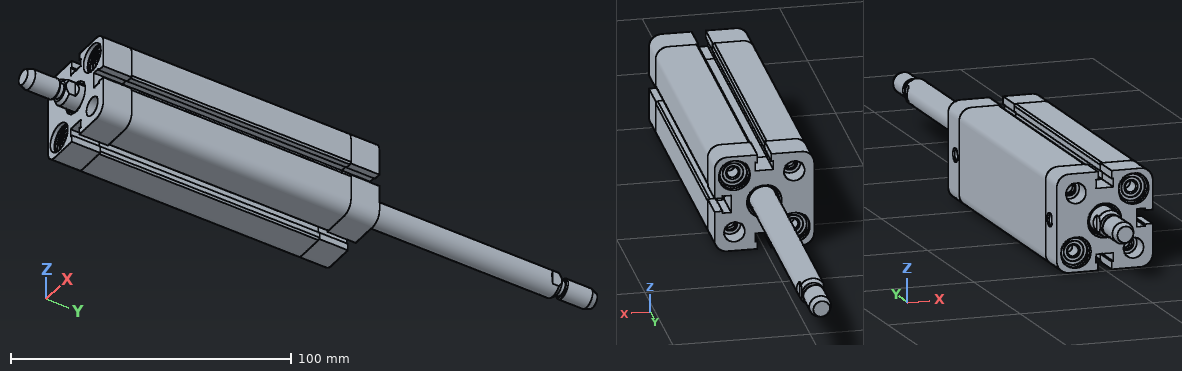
import cadquery as cq


total_length = 242.0
width = 36.3
body_length = 117.5
cap_length = 12.0
front_stickout = 22.3
corner_radius = 4.5
rear_tip_y = total_length - front_stickout

slot_mouth = 5.0
slot_inner = 6.5
slot_depth = 6.0
lip_height = 3.0
lip_chamfer = 0.7

rod_diameter = 10.0
thread_diameter = 8.0
thread_length = 13.5
tip_diameter = 6.0
tip_length = 2.7
neck_diameter = 5.8
neck_length = 2.0
thread_root_chamfer = 0.5
shoulder_diameter = 7.7
shoulder_length = 1.5
flat_width = 8.0
flat_length = 4.0

hole_offset = 11.0
deep_bore_diameter = 7.5
deep_bore_depth = 7.3
seat_steps = [(11.4, 1.7), (10.0, 2.5), (7.5, 3.0)]
thread_hole_diameter = 4.0
countersink_diameter = 5.0
screw_hole_depth = 9.7

rod_recess_steps = [(12.5, 0.7), (11.1, 3.0)]

port_inset = 7.7
port_depth = 9.7

countersink_depth = (countersink_diameter - thread_hole_diameter) / 2


def cylinder(diameter, start, depth, x=0, z=0):
    """Cylinder along +Y starting at y = start."""
    return cq.Workplane("XZ", origin=(x, start, z)).circle(diameter / 2).extrude(-depth)


def slot_cutter(length, mouth_chamfer):
    """T-slot running from y = 0 to y = length, open at the top side."""
    top = width / 2
    half_points = [
        (slot_inner / 2, top - slot_depth),
        (slot_inner / 2, top - lip_height),
        (slot_mouth / 2, top - lip_height),
        (slot_mouth / 2, top - mouth_chamfer),
    ]
    if mouth_chamfer > 0:
        half_points.append((slot_mouth / 2 + mouth_chamfer, top))
    mirrored = [(-x, z) for x, z in reversed(half_points)]
    return cq.Workplane("XZ").polyline(half_points + mirrored).close().extrude(-length)


def profile_block(length, mouth_chamfer):
    """Rounded square bar from y = 0 to y = length with its three T-slots and rod bore."""
    block = cq.Workplane("XZ").rect(width, width).extrude(-length)
    block = block.edges("|Y").fillet(corner_radius)
    slot = slot_cutter(length, mouth_chamfer)
    for angle in (0, 90, 180):
        block = block.cut(slot.rotate((0, 0, 0), (0, 1, 0), angle))
    return block.cut(cylinder(rod_diameter, 0, length))


def cut_stepped_bore(cap, steps, x=0, z=0):
    """Cut coaxial bores of the given diameters and depths into the y = 0 face."""
    for diameter, depth in steps:
        cap = cap.cut(cylinder(diameter, 0, depth, x, z))
    return cap


def threaded_hole(depth):
    """Countersunk hole cutter on the Y axis, entering at y = 0."""
    outline = [
        (0, 0),
        (countersink_diameter / 2, 0),
        (thread_hole_diameter / 2, countersink_depth),
        (thread_hole_diameter / 2, depth),
        (0, depth),
    ]
    return cq.Workplane("XY").polyline(outline).close().revolve(360, (0, 0, 0), (0, 1, 0))


def make_cap():
    """End cap with its outer face at y = 0 and its barrel face at y = cap_length."""
    cap = profile_block(cap_length, 0)
    cap = cut_stepped_bore(cap, rod_recess_steps)

    for side_x in (-1, 1):
        for side_z in (-1, 1):
            x = side_x * hole_offset
            z = side_z * hole_offset
            steps = seat_steps if side_x == side_z else [(deep_bore_diameter, deep_bore_depth)]
            cap = cut_stepped_bore(cap, steps, x, z)
            bore_floor = steps[-1][1]
            tapped = threaded_hole(screw_hole_depth - bore_floor)
            cap = cap.cut(tapped.translate((x, bore_floor, z)))

    port = threaded_hole(port_depth).rotate((0, 0, 0), (0, 0, 1), -90)
    return cap.cut(port.translate((-width / 2, port_inset, 0)))


def make_barrel():
    """Extruded barrel between the two caps."""
    barrel = profile_block(body_length - 2 * cap_length, lip_chamfer)
    return barrel.translate((0, cap_length, 0))


def make_rod():
    """Through rod with a wrench-flatted collar, neck and thread at each end."""
    end_outline = [
        (tip_diameter / 2, 0),
        (thread_diameter / 2, tip_length),
        (thread_diameter / 2, thread_length - thread_root_chamfer),
        (thread_diameter / 2 - thread_root_chamfer, thread_length),
        (neck_diameter / 2, thread_length),
        (neck_diameter / 2, thread_length + neck_length),
        (shoulder_diameter / 2, thread_length + neck_length),
        (rod_diameter / 2, thread_length + neck_length + shoulder_length),
    ]
    front_points = [(r, d - front_stickout) for r, d in end_outline]
    rear_points = [(r, rear_tip_y - d) for r, d in reversed(end_outline)]
    outline = [(0, -front_stickout)] + front_points + rear_points + [(0, rear_tip_y)]
    rod = cq.Workplane("XY").polyline(outline).close().revolve(360, (0, 0, 0), (0, 1, 0))

    flat_depth = (rod_diameter - flat_width) / 2
    flat_from_tip = thread_length + neck_length + flat_length / 2
    for flat_y in (flat_from_tip - front_stickout, rear_tip_y - flat_from_tip):
        for side in (-1, 1):
            inner_x = side * flat_width / 2
            outer_x = side * rod_diameter / 2
            half_inner = flat_length / 2
            half_outer = half_inner + flat_depth
            outline = [
                (inner_x, flat_y - half_inner),
                (inner_x, flat_y + half_inner),
                (outer_x, flat_y + half_outer),
                (outer_x, flat_y - half_outer),
            ]
            cutter = cq.Workplane("XY").polyline(outline).close()
            rod = rod.cut(cutter.extrude(rod_diameter / 2, both=True))
    return rod


barrel = make_barrel()
front_cap = make_cap()
rear_cap = make_cap().mirror("XZ").translate((0, body_length, 0))
rod = make_rod()

result = cq.Compound.makeCompound([barrel.val(), front_cap.val(), rear_cap.val(), rod.val()])